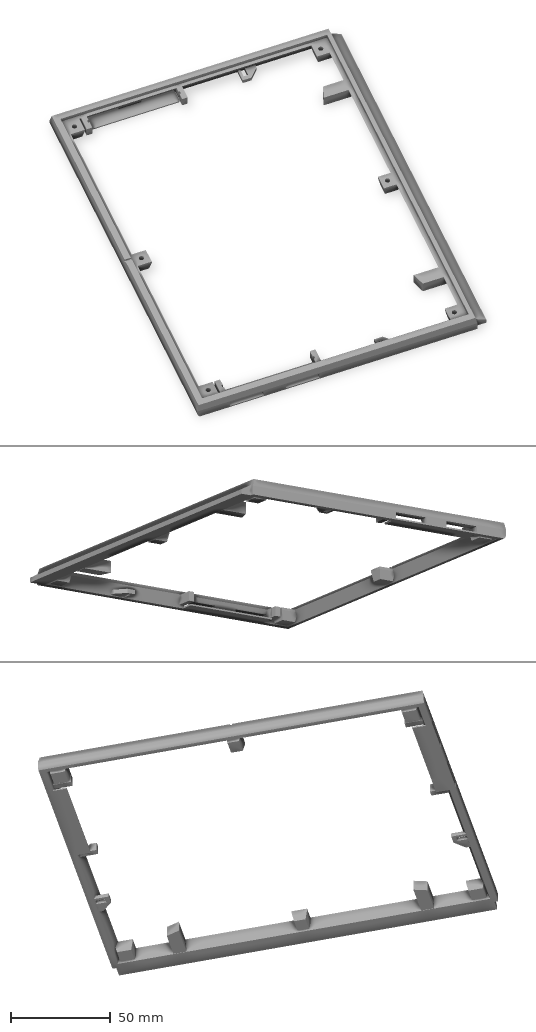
import cadquery as cq
WIDTH = 199.6
DEPTH = 151.0
TOTAL_DEPTH = 156.7
HEIGHT = 8.4
BEVEL_START = 4.5
BEVEL_INSET = 0.8
OUTER_HALF = WIDTH / 2

RIM_WIDTH = 4.2
BACK_RIM_WIDTH = 3.0
LEDGE_HEIGHT = 6.2
OPENING_INSET = 6.0
BACK_OPENING_INSET = 5.4
WALL_LEAN = 2.5
INNER_HALF = OUTER_HALF - OPENING_INSET
INNER_FRONT = OPENING_INSET
INNER_BACK = DEPTH - BACK_OPENING_INSET
RECESS_HALF = OUTER_HALF - RIM_WIDTH
RECESS_BACK = DEPTH - BACK_RIM_WIDTH

ROOT_INSET = 2.0
ROOT_HALF = OUTER_HALF - ROOT_INSET

FRONT_ROUND_RISE = 2.4
FRONT_ROUND_DEPTH = 1.2
FRONT_ROUND_BULGE = 0.2

LIP_HALF = 97.8
LIP_EDGE_HEIGHT = 2.4
LIP_ROOT_HEIGHT = 5.5
LIP_ROOT_INSET = 0.2

TAB_INSET = 13.5
HOLE_INSET = 9.5
BACK_TAB_INSET = 12.2
BACK_HOLE_INSET = 8.5
TAB_LEAN = 1.0
TAB_EDGE_HEIGHT = 1.2
HOLE_DIAMETER = 2.5
HOLE_BOTTOM = 1.2
MIDDLE_TAB_WIDTH = 8.0

PRONG_INNER = 60.7
PRONG_OUTER = 67.5
PRONG_INNER_TIP = 132.3
PRONG_OUTER_TIP = 134.5

HOOK_REACH = 5.2
HOOK_BOTTOM = 0.4
HOOK_TOP = 2.5
HOOK_FRONT = 99.8
HOOK_SHOULDER = 104.4
HOOK_BACK = 109.4
HOOK_EYE_REACH = 3.0
HOOK_EYE_FRONT = 101.2
HOOK_EYE_BACK = 103.5

POST_REACH = OUTER_HALF - TAB_INSET
POST_THICKNESS = 3.0
POST_BOTTOM = 1.2
FRONT_POST_Y = 14.5
BACK_POST_Y = 66.0
FLOOR_THICKNESS = 0.8
FLOOR_REACH = 4.4
GROOVE_X = 90.6
GROOVE_WIDTH = 1.4
GROOVE_DEPTH = 0.8
GROOVE_BOTTOM = 1.8

WINDOW_LENGTH = 18.2
WINDOW_TOP = 3.8
WINDOW_STARTS = (17.5, 47.7)

MARK_WIDTH = 1.2
MARK_DEPTH = 1.0


def box(x0, x1, y0, y1, z0, z1):
    """Block between two opposite corners."""
    return cq.Workplane("XY").box(x1 - x0, y1 - y0, z1 - z0, centered=False).translate((x0, y0, z0))


def tapered_block(x0, x1, y0, y1, height, lean):
    """Block with a flat top at a height, its walls drawn outward below by a lean (negative: inward)."""
    wide = x1 - x0
    deep = y1 - y0
    return (
        cq.Workplane("XY", origin=((x0 + x1) / 2, (y0 + y1) / 2, 0))
        .rect(wide + 2 * lean, deep + 2 * lean)
        .workplane(offset=height)
        .rect(wide, deep)
        .loft(ruled=True)
    )


def prism(points, z0, z1):
    """Upright prism over a plan outline."""
    return cq.Workplane("XY").workplane(offset=z0).polyline(points).close().extrude(z1 - z0)


def both_sides(shape):
    """The shape together with its mirror image across X = 0."""
    return shape.union(shape.mirror("YZ"))


def frame_body():
    """Bevelled frame with its sunken ledge and leaning inner walls."""
    lower = box(-OUTER_HALF, OUTER_HALF, 0, DEPTH, 0, BEVEL_START)
    upper = tapered_block(
        BEVEL_INSET - OUTER_HALF,
        OUTER_HALF - BEVEL_INSET,
        BEVEL_INSET,
        DEPTH - BEVEL_INSET,
        HEIGHT - BEVEL_START,
        BEVEL_INSET,
    )
    body = lower.union(upper.translate((0, 0, BEVEL_START)))
    body = body.cut(box(-RECESS_HALF, RECESS_HALF, RIM_WIDTH, RECESS_BACK, LEDGE_HEIGHT, HEIGHT))
    return body.cut(tapered_block(-INNER_HALF, INNER_HALF, INNER_FRONT, INNER_BACK, LEDGE_HEIGHT, WALL_LEAN))


def front_round():
    """Material removed below the rounded lower front edge."""
    arc_middle = (FRONT_ROUND_DEPTH / 2 - FRONT_ROUND_BULGE, FRONT_ROUND_RISE / 2 - FRONT_ROUND_BULGE)
    return (
        cq.Workplane("YZ", origin=(-OUTER_HALF, 0, 0))
        .moveTo(0, 0)
        .lineTo(FRONT_ROUND_DEPTH, 0)
        .threePointArc(arc_middle, (0, FRONT_ROUND_RISE))
        .close()
        .extrude(WIDTH)
    )


def back_lip():
    """Lip with a sloped top along the back of the frame."""
    root = DEPTH - LIP_ROOT_INSET
    profile = [(root, 0), (TOTAL_DEPTH, 0), (TOTAL_DEPTH, LIP_EDGE_HEIGHT), (root, LIP_ROOT_HEIGHT)]
    return cq.Workplane("YZ", origin=(-LIP_HALF, 0, 0)).polyline(profile).close().extrude(2 * LIP_HALF)


def screw_tabs():
    """Six tabs level with the ledge, upright at the top and leaning back below."""
    middle_half = MIDDLE_TAB_WIDTH / 2
    corner_half = OUTER_HALF - TAB_INSET
    lean_top = LEDGE_HEIGHT - TAB_EDGE_HEIGHT
    tabs = cq.Workplane("XY")
    for x0, x1 in ((-RECESS_HALF, -corner_half), (-middle_half, middle_half), (corner_half, RECESS_HALF)):
        for y0, y1 in ((RIM_WIDTH, TAB_INSET), (DEPTH - BACK_TAB_INSET, RECESS_BACK)):
            tabs = tabs.union(box(x0, x1, y0, y1, lean_top, LEDGE_HEIGHT))
            tabs = tabs.union(tapered_block(x0, x1, y0, y1, lean_top, -TAB_LEAN))
    return tabs


def screw_holes():
    """Blind holes, one in each tab."""
    x = OUTER_HALF - HOLE_INSET
    centres = [(px, py) for px in (-x, 0, x) for py in (HOLE_INSET, DEPTH - BACK_HOLE_INSET)]
    holes = cq.Workplane("XY").workplane(offset=HOLE_BOTTOM).pushPoints(centres)
    return holes.circle(HOLE_DIAMETER / 2).extrude(HEIGHT - HOLE_BOTTOM)


def prong():
    """Right-hand prong with a slanted tip."""
    outline = [
        (PRONG_INNER, RECESS_BACK),
        (PRONG_OUTER, RECESS_BACK),
        (PRONG_OUTER, PRONG_OUTER_TIP),
        (PRONG_INNER, PRONG_INNER_TIP),
    ]
    return prism(outline, 0, LEDGE_HEIGHT)


def hook():
    """Right-hand hook, with an eye between it and the wall."""
    tip = INNER_HALF - HOOK_REACH
    outline = [
        (ROOT_HALF, HOOK_FRONT),
        (tip, HOOK_FRONT),
        (tip, HOOK_SHOULDER),
        (INNER_HALF, HOOK_BACK),
        (ROOT_HALF, HOOK_BACK),
    ]
    eye_tip = INNER_HALF - HOOK_EYE_REACH
    eye = box(eye_tip, ROOT_HALF, HOOK_EYE_FRONT, HOOK_EYE_BACK, 0, HEIGHT)
    return prism(outline, HOOK_BOTTOM, HOOK_TOP).cut(eye)


def side_tray():
    """Right-hand tray: two posts with facing grooves and a thin floor between them."""
    front_face = FRONT_POST_Y + POST_THICKNESS
    back_end = BACK_POST_Y + POST_THICKNESS
    posts = box(POST_REACH, RECESS_HALF, FRONT_POST_Y, back_end, POST_BOTTOM, LEDGE_HEIGHT)
    gap = box(POST_REACH, RECESS_HALF, front_face, BACK_POST_Y, 0, LEDGE_HEIGHT)
    groove = box(
        GROOVE_X - GROOVE_WIDTH / 2,
        GROOVE_X + GROOVE_WIDTH / 2,
        front_face - GROOVE_DEPTH,
        BACK_POST_Y + GROOVE_DEPTH,
        GROOVE_BOTTOM,
        LEDGE_HEIGHT,
    )
    floor = box(INNER_HALF - FLOOR_REACH, ROOT_HALF, front_face, BACK_POST_Y, 0, FLOOR_THICKNESS)
    return posts.cut(gap).cut(groove).union(floor)


result = frame_body().cut(front_round()).union(back_lip()).union(screw_tabs()).cut(screw_holes())
for feature in (prong(), hook(), side_tray()):
    result = result.union(both_sides(feature))

for start in WINDOW_STARTS:
    window = box(POST_REACH, OUTER_HALF, start, start + WINDOW_LENGTH, FLOOR_THICKNESS, WINDOW_TOP)
    result = result.cut(both_sides(window))

result = result.cut(box(-MARK_WIDTH / 2, MARK_WIDTH / 2, 0, RIM_WIDTH, HEIGHT - MARK_DEPTH, HEIGHT))